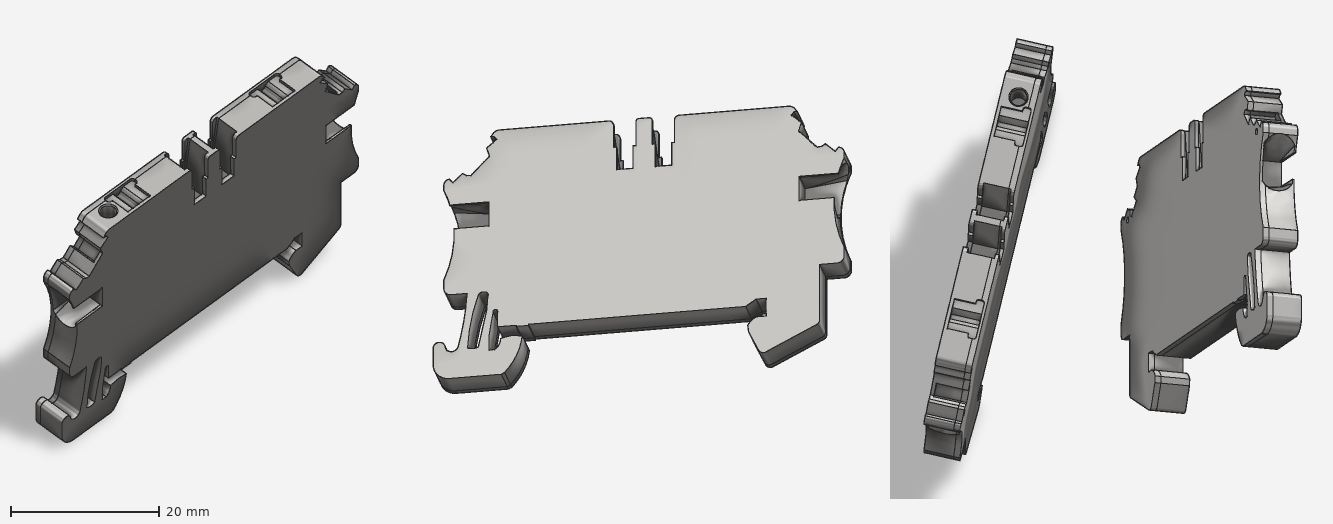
import cadquery as cq
WIDTH = 5.0
COVER_THICKNESS = 0.85
HEIGHT = 36.15
MID_Y = 0.75
LEFT_X = -WIDTH / 2
RIGHT_X = WIDTH / 2
FULL_X = (LEFT_X, RIGHT_X)

FIN_HALF = 1.15
SLOT_WIDTH = 3.05
SLOT_STEP = 0.4
SLOT_STEP_Z = 32.2
SLOT_FLOOR_Z = 28.9
FIN_ROUND = 0.45
SLOT_ROUND = 0.7
SLOT_NEAR = FIN_HALF + SLOT_STEP
SLOT_FAR = FIN_HALF + SLOT_WIDTH - SLOT_STEP
TAPER_NEAR = 0.45
TAPER_FAR = 5.0
TAPER_FLOOR_Z = SLOT_FLOOR_Z - 0.45
TAPER_X = (LEFT_X + 0.5, RIGHT_X - 0.7)

WAIST_Y = 26.1
END_Y = 27.5
WAIST_Z = (14.65, 27.85)
SHOULDER_Z = 12.4
END_ROUND = 0.95

BASE_Z = 7.05
BASE_Y = (-18.65, 14.7)
FOOT_Y = 24.85
SPRING_Y = -28.25
PAD_Y = (-16.85, -15.15)
PAD_DEPTH = 0.15

INSERT_OFFSET = 13.8
INSERT_WIDTH = 4.3
EAR_WIDTH = 5.55
EAR_LENGTH = 1.15
EAR_ROUND = 0.4
INSERT_X = (LEFT_X + 0.4, RIGHT_X - 0.5)
INSERT_TOP_Z = 35.7
INSERT_BOTTOM_Z = 30.5
GROOVE_START = 1.1
GROOVE_FLOOR = (-0.3, 0.0)
GROOVE_END = -0.95
GROOVE_MID = 0.5
GROOVE_DEPTH = 0.9

ENTRY_X = (LEFT_X + 0.3, RIGHT_X - 0.2)
ENTRY_Z = (21.3, 26.7)
ENTRY_ARC_Z = (19.8, 27.9)
THROAT_X = (LEFT_X + 0.85, RIGHT_X - 0.4)
THROAT_Z = (22.1, 25.65)
ENTRY_DEPTH = 6.2

TEST_Y = -16.95
TEST_DIAMETER = 2.25
TEST_CHAMFER = 0.15
TEST_DEPTH = 4.5
PIN_HOLE_OFFSET = 24.9
PIN_HOLE_Z = 28.6
PIN_HOLE_DIAMETER = 0.8
LABEL_RIB = 0.5


def prism(outline, x_range):
    """Extrude a YZ outline between two X positions."""
    return outline.extrude(x_range[1] - x_range[0]).translate((x_range[0], 0, 0))


def box(x_range, y_range, z_range):
    """Axis-aligned box from its limits."""
    outline = cq.Workplane("YZ").polyline([
        (y_range[0], z_range[0]),
        (y_range[1], z_range[0]),
        (y_range[1], z_range[1]),
        (y_range[0], z_range[1]),
    ]).close()
    return prism(outline, x_range)


def half_block():
    """+Y half of the upper block about Y = 0, with its stepped, sloped and waisted end."""
    waist_mid = (WAIST_Z[0] + WAIST_Z[1]) / 2
    outline = (
        cq.Workplane("YZ")
        .moveTo(0, SHOULDER_Z)
        .lineTo(0, HEIGHT)
        .lineTo(20.0, HEIGHT)
        .threePointArc((20.5, 35.95), (20.85, 35.55))
        .lineTo(21.1, 35.25)
        .lineTo(20.6, 35.25)
        .lineTo(20.25, 34.8)
        .lineTo(21.65, 33.6)
        .lineTo(21.25, 32.4)
        .lineTo(23.8, 29.8)
        .lineTo(24.4, 29.85)
        .lineTo(24.9, 30.2)
        .lineTo(26.3, 28.95)
        .lineTo(26.75, 29.5)
        .threePointArc((27.3, 29.2), (END_Y, 28.6))
        .lineTo(END_Y, WAIST_Z[1])
        .threePointArc((WAIST_Y, waist_mid), (END_Y, WAIST_Z[0]))
        .lineTo(END_Y, SHOULDER_Z + END_ROUND)
        .radiusArc((END_Y - END_ROUND, SHOULDER_Z), END_ROUND)
        .close()
    )
    return prism(outline, FULL_X)


def slot():
    """Stepped marker slot on the +Y side of the fin, about Y = 0, with rounded top edges."""
    far_top = FIN_HALF + SLOT_WIDTH
    outline = (
        cq.Workplane("YZ")
        .moveTo(SLOT_NEAR, SLOT_FLOOR_Z)
        .lineTo(SLOT_NEAR, SLOT_STEP_Z)
        .lineTo(FIN_HALF, SLOT_STEP_Z)
        .lineTo(FIN_HALF, HEIGHT - FIN_ROUND)
        .radiusArc((FIN_HALF - FIN_ROUND, HEIGHT), -FIN_ROUND)
        .lineTo(far_top + SLOT_ROUND, HEIGHT)
        .radiusArc((far_top, HEIGHT - SLOT_ROUND), -SLOT_ROUND)
        .lineTo(far_top, SLOT_STEP_Z)
        .lineTo(SLOT_FAR, SLOT_STEP_Z)
        .lineTo(SLOT_FAR, SLOT_FLOOR_Z)
        .close()
    )
    return prism(outline, FULL_X)


def slot_taper():
    """Tapered seat that widens the middle of a slot between its two edge webs."""
    outline = cq.Workplane("YZ").polyline([
        (SLOT_NEAR, TAPER_FLOOR_Z),
        (TAPER_NEAR, HEIGHT),
        (TAPER_FAR, HEIGHT),
        (SLOT_FAR, TAPER_FLOOR_Z),
    ]).close()
    return prism(outline, TAPER_X)


def wire_entry():
    """Funnel from the rounded mouth to the throat, with a window through the +X wall."""
    mid_x = (ENTRY_X[0] + ENTRY_X[1]) / 2
    throat_y = END_Y - ENTRY_DEPTH
    mouth = (
        cq.Workplane("XZ", origin=(0, throat_y, 0))
        .polyline([
            (THROAT_X[0], THROAT_Z[0]),
            (THROAT_X[0], THROAT_Z[1]),
            (THROAT_X[1], THROAT_Z[1]),
            (THROAT_X[1], THROAT_Z[0]),
        ])
        .close()
        .workplane(offset=-ENTRY_DEPTH)
        .moveTo(ENTRY_X[0], ENTRY_Z[0])
        .lineTo(ENTRY_X[0], ENTRY_Z[1])
        .threePointArc((mid_x, ENTRY_ARC_Z[1]), (ENTRY_X[1], ENTRY_Z[1]))
        .lineTo(ENTRY_X[1], ENTRY_Z[0])
        .threePointArc((mid_x, ENTRY_ARC_Z[0]), (ENTRY_X[0], ENTRY_Z[0]))
        .close()
        .loft(ruled=True)
    )
    window = box((0, RIGHT_X), (throat_y, END_Y), THROAT_Z)
    return mouth.union(window)


def both_ends(shape):
    """A +Y side shape about Y = 0 and its mirror image, moved to the block's symmetry plane."""
    return shape.union(shape.mirror("XZ")).translate((0, MID_Y, 0))


def fixed_foot():
    """Rigid foot on the +Y side with its inward rail hook."""
    outline = (
        cq.Workplane("YZ")
        .moveTo(FOOT_Y, SHOULDER_Z)
        .lineTo(FOOT_Y, 4.2)
        .threePointArc((24.75, 3.8), (24.4, 3.5))
        .lineTo(17.65, 0.15)
        .threePointArc((16.95, 0.05), (16.5, 0.4))
        .lineTo(15.1, 3.35)
        .lineTo(15.0, 4.25)
        .threePointArc((15.5, 4.9), (16.35, 5.4))
        .lineTo(17.5, 5.4)
        .lineTo(17.5, 8.0)
        .lineTo(16.15, 8.0)
        .lineTo(BASE_Y[1], BASE_Z)
        .lineTo(BASE_Y[1], SHOULDER_Z)
        .close()
    )
    return prism(outline, FULL_X)


def spring_foot():
    """Sprung foot on the -Y side: rail hook, two slanted arms and release tab."""
    outline = (
        cq.Workplane("YZ")
        .moveTo(BASE_Y[0], BASE_Z)
        .lineTo(-19.4, BASE_Z)
        .lineTo(-19.4, 9.25)
        .threePointArc((-19.65, 9.65), (-20.0, 9.25))
        .lineTo(-20.55, 5.9)
        .lineTo(-20.55, 3.75)
        .lineTo(-19.85, 3.75)
        .threePointArc((-19.45, 4.05), (-19.0, 5.3))
        .lineTo(-17.5, 5.6)
        .lineTo(-16.0, 5.4)
        .threePointArc((-16.65, 2.9), (-18.4, 0.2))
        .lineTo(-18.9, 0)
        .lineTo(-26.0, 0)
        .threePointArc((-27.6, 0.6), (SPRING_Y, 2.05))
        .lineTo(SPRING_Y, 4.75)
        .threePointArc((-27.4, 5.5), (-26.6, 4.85))
        .threePointArc((-25.7, 3.95), (-24.8, 4.65))
        .lineTo(-24.45, 6.1)
        .threePointArc((-23.85, 9.6), (-23.55, SHOULDER_Z))
        .lineTo(BASE_Y[0], SHOULDER_Z)
        .close()
    )
    gap = (
        cq.Workplane("YZ")
        .moveTo(-20.7, 12.0)
        .threePointArc((-20.9, 12.3), (-21.25, SHOULDER_Z))
        .threePointArc((-21.85, 12.2), (-22.05, 12.0))
        .threePointArc((-23.0, 8.5), (-23.5, 4.35))
        .threePointArc((-22.8, 4.1), (-22.05, 4.35))
        .lineTo(-20.9, 9.6)
        .close()
    )
    return prism(outline, FULL_X).cut(prism(gap, FULL_X))


def sloped_recess(points):
    """Recess in the sloped face, open to the -X side and leaving a rib on the +X side."""
    outline = cq.Workplane("YZ").polyline(points).close()
    return prism(outline, (LEFT_X, RIGHT_X - LABEL_RIB))


def insert_plan(top_z):
    """Eared plan outline of a push insert about Y = 0, raised to the given height."""
    ears = (
        cq.Workplane("XY", origin=(INSERT_X[0] + EAR_LENGTH / 2, 0, INSERT_BOTTOM_Z))
        .rect(EAR_LENGTH, EAR_WIDTH)
        .extrude(top_z - INSERT_BOTTOM_Z)
        .edges("|Z")
        .fillet(EAR_ROUND)
    )
    flat = box(INSERT_X, (-INSERT_WIDTH / 2, INSERT_WIDTH / 2), (INSERT_BOTTOM_Z, top_z))
    return ears.union(flat)


def insert_groove():
    """Groove across the top of an insert: rounded +Y flank, sloped -Y flank."""
    floor_z = INSERT_TOP_Z - GROOVE_DEPTH
    outline = (
        cq.Workplane("YZ")
        .moveTo(GROOVE_START, INSERT_TOP_Z)
        .threePointArc((0.75, 35.5), (GROOVE_MID, INSERT_TOP_Z - GROOVE_DEPTH / 2))
        .threePointArc((0.35, 35.0), (GROOVE_FLOOR[1], floor_z))
        .lineTo(GROOVE_FLOOR[0], floor_z)
        .lineTo(GROOVE_END, INSERT_TOP_Z)
        .close()
    )
    return prism(outline, FULL_X)


def push_insert():
    """Grooved push insert about Y = 0."""
    return insert_plan(INSERT_TOP_Z).cut(insert_groove())


block = both_ends(half_block())
block = block.union(box(FULL_X, BASE_Y, (BASE_Z, SHOULDER_Z)))
block = block.union(box(FULL_X, PAD_Y, (BASE_Z - PAD_DEPTH, SHOULDER_Z)))
block = block.union(fixed_foot()).union(spring_foot())

block = block.cut(both_ends(slot()))
block = block.cut(both_ends(slot_taper()))
block = block.cut(both_ends(wire_entry()))

block = block.cut(sloped_recess([(22.3, 30.45), (24.2, 28.7), (24.7, 28.95), (24.7, 29.9), (23.3, 31.3)]))
block = block.cut(sloped_recess([(-20.4, 32.65), (-19.65, 32.65), (-19.3, 32.2), (-21.0, 30.4), (-21.8, 31.2)]))

insert_places = [(0, MID_Y + side * INSERT_OFFSET, 0) for side in (1, -1)]
for place in insert_places:
    block = block.cut(insert_plan(HEIGHT).translate(place))

test_hole = (
    cq.Workplane("XY", origin=(0, TEST_Y, HEIGHT - TEST_DEPTH))
    .circle(TEST_DIAMETER / 2)
    .extrude(TEST_DEPTH)
)
test_mouth = (
    cq.Workplane("XY", origin=(0, TEST_Y, HEIGHT - TEST_CHAMFER))
    .circle(TEST_DIAMETER / 2)
    .workplane(offset=TEST_CHAMFER)
    .circle(TEST_DIAMETER / 2 + TEST_CHAMFER)
    .loft()
)
block = block.cut(test_hole).cut(test_mouth)

ALL_Y = (SPRING_Y, -SPRING_Y)
ALL_Z = (0, HEIGHT)
SEAM_X = LEFT_X + COVER_THICKNESS
cover_slab = box((LEFT_X, SEAM_X), ALL_Y, ALL_Z)
cover = block.intersect(cover_slab)
for side in (1, -1):
    pin_hole = (
        cq.Workplane("YZ", origin=(LEFT_X, MID_Y + side * PIN_HOLE_OFFSET, PIN_HOLE_Z))
        .circle(PIN_HOLE_DIAMETER / 2)
        .extrude(COVER_THICKNESS)
    )
    cover = cover.cut(pin_hole)

housing = block.cut(cover_slab)
inserts = [push_insert().translate(place) for place in insert_places]

result = cq.Compound.makeCompound([cover.val(), housing.val(), *[insert.val() for insert in inserts]])